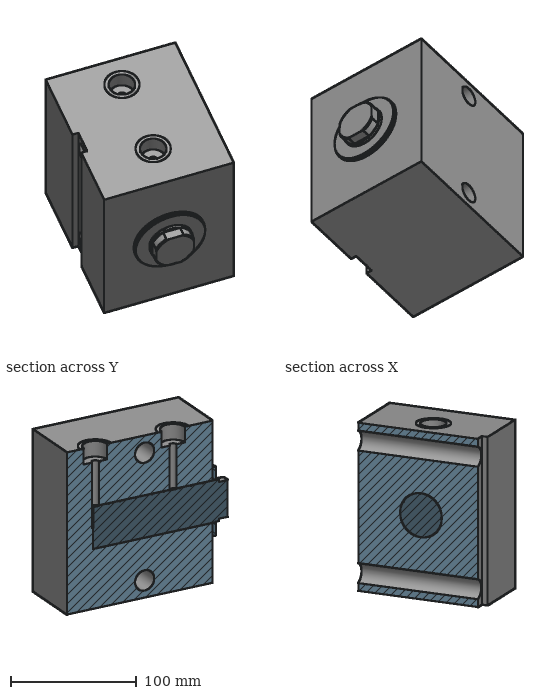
import cadquery as cq

OVERALL_LENGTH = 147.0

BLOCK_LENGTH = 133.0
BLOCK_WIDTH = 110.0
BLOCK_HEIGHT = 140.0

SLOT_X = 71.0
SLOT_WIDTH = 20.0
SLOT_DEPTH = 5.0
MOUNT_HOLE_DIAMETER = 17.0
MOUNT_HOLE_SPACING = 110.0

PORT_X_POSITIONS = (26.0, 97.0)
SPOTFACE_DIAMETER = 28.0
SPOTFACE_DEPTH = 0.1
PORT_DIAMETER = 21.0
PORT_DEPTH = 13.5
PASSAGE_DIAMETER = 6.0

GLAND_DIAMETER = 60.0
GLAND_THICKNESS = 3.2
GLAND_CHAMFER_LENGTH = 1.2
GLAND_CHAMFER_DEPTH = 0.6

ROD_DIAMETER = 36.0
ROD_START_X = 24.1
ROD_COLLAR_LENGTH = 2.6
TIP_DIAMETER = 35.1
TIP_CHAMFER = 0.7
ACROSS_FLATS = 32.0

SLOT_FLOOR_Y = -BLOCK_WIDTH / 2 + SLOT_DEPTH
BLOCK_TOP_Z = BLOCK_HEIGHT / 2
FLATS_START_X = BLOCK_LENGTH + GLAND_THICKNESS + ROD_COLLAR_LENGTH
FLATS_LENGTH = OVERALL_LENGTH - FLATS_START_X


def x_cylinder(diameter, start_x, end_x):
    """Cylinder on the rod axis between two X positions."""
    return cq.Workplane("YZ", origin=(start_x, 0, 0)).circle(diameter / 2).extrude(end_x - start_x)


def port_cutter(port_x):
    """Spotface, port and narrow passage, drilled down from the top face to the rod axis."""
    top = cq.Workplane("XY", origin=(port_x, 0, BLOCK_TOP_Z))
    spotface = top.circle(SPOTFACE_DIAMETER / 2).extrude(-SPOTFACE_DEPTH)
    port = top.circle(PORT_DIAMETER / 2).extrude(-PORT_DEPTH)
    passage = top.circle(PASSAGE_DIAMETER / 2).extrude(-BLOCK_TOP_Z)
    return spotface.union(port).union(passage)


def make_block():
    """Rectangular block with key slot, mounting holes, ports and the bore for the rod."""
    block = cq.Workplane("XY").box(BLOCK_LENGTH, BLOCK_WIDTH, BLOCK_HEIGHT)
    block = block.translate((BLOCK_LENGTH / 2, 0, 0))

    slot = cq.Workplane("XY").box(SLOT_WIDTH, 2 * SLOT_DEPTH, BLOCK_HEIGHT)
    block = block.cut(slot.translate((SLOT_X, -BLOCK_WIDTH / 2, 0)))

    mount_holes = (
        cq.Workplane("XZ", origin=(SLOT_X, SLOT_FLOOR_Y, 0))
        .pushPoints([(0, -MOUNT_HOLE_SPACING / 2), (0, MOUNT_HOLE_SPACING / 2)])
        .circle(MOUNT_HOLE_DIAMETER / 2)
        .extrude(-BLOCK_WIDTH)
    )
    block = block.cut(mount_holes)

    for port_x in PORT_X_POSITIONS:
        block = block.cut(port_cutter(port_x))

    return block.cut(x_cylinder(ROD_DIAMETER, ROD_START_X, BLOCK_LENGTH))


def make_gland():
    """Flat ring around the rod, chamfered on its outer front edge."""
    gland_end_x = BLOCK_LENGTH + GLAND_THICKNESS
    chamfer_start_x = gland_end_x - GLAND_CHAMFER_LENGTH
    disc = x_cylinder(GLAND_DIAMETER, BLOCK_LENGTH, chamfer_start_x)
    chamfered_front = (
        cq.Workplane("YZ", origin=(chamfer_start_x, 0, 0))
        .circle(GLAND_DIAMETER / 2)
        .workplane(offset=GLAND_CHAMFER_LENGTH)
        .circle(GLAND_DIAMETER / 2 - GLAND_CHAMFER_DEPTH)
        .loft()
    )
    return disc.union(chamfered_front).cut(x_cylinder(ROD_DIAMETER, BLOCK_LENGTH, gland_end_x))


def make_rod():
    """Round rod whose slightly smaller, chamfered tip carries four milled flats."""
    shaft = x_cylinder(ROD_DIAMETER, ROD_START_X, FLATS_START_X)
    tip = x_cylinder(TIP_DIAMETER, FLATS_START_X, OVERALL_LENGTH).faces(">X").chamfer(TIP_CHAMFER)
    square = (
        cq.Workplane("YZ", origin=(FLATS_START_X, 0, 0))
        .rect(ACROSS_FLATS, ACROSS_FLATS)
        .extrude(FLATS_LENGTH)
    )
    return shaft.union(tip.intersect(square))


block = make_block()
gland = make_gland()
rod = make_rod()

result = cq.Compound.makeCompound([block.val(), gland.val(), rod.val()])